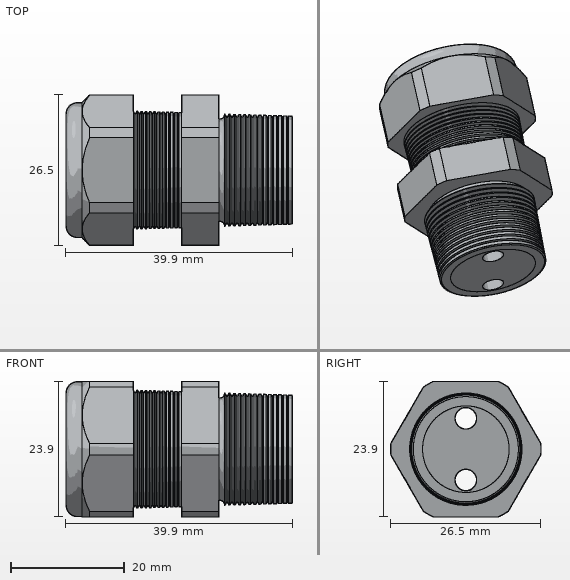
import cadquery as cq
import math


length = 39.88
cap_hex_end = 11.85
mid_hex_start = 20.35
mid_hex_end = 26.88

across_flats = 23.9
corner_diameter = 26.5

nose_radius = 11.9
nose_rounding = 2.05
nose_length = 2.8

crest_slope = 1 / 32
groove_half_angle = math.radians(30)

cap_thread_crest = 10.4
cap_thread_root = 9.85
cap_groove_first = 12.15
cap_groove_pitch = 0.75
cap_groove_count = 11

entry_thread_crest = 9.9
entry_thread_root = 9.25
entry_groove_first = 28.3
entry_groove_last = length
entry_groove_count = 14
entry_groove_pitch = (entry_groove_last - entry_groove_first) / (entry_groove_count - 1)

neck_radius = 9.0
neck_fillet = 0.85
neck_end = 27.88

bore_radius = 7.6
recess_radius = 7.3
recess_depth = 0.5
cable_hole_diameter = 3.75
cable_hole_offset = 5.42


def turned(outline):
    """Revolve a closed outline of (x, radius) around the X axis."""
    return outline.close().revolve(360, (0, 0, 0), (1, 0, 0))


def hexagon(start, end):
    """Hexagonal prism with corners pointing along Y, turned round at the corner diameter."""
    face = cq.Workplane("YZ", origin=(start, 0, 0))
    sharp_diameter = across_flats / math.cos(math.radians(30))
    prism = face.polygon(6, sharp_diameter).extrude(end - start)
    return prism.intersect(face.circle(corner_diameter / 2).extrude(end - start))


def cut_ring_grooves(body, first, pitch, count, root, depth):
    """Cut evenly spaced V grooves around the body, each with its tip at the root radius."""
    half_width = depth * math.tan(groove_half_angle)
    for index in range(count):
        centre = first + index * pitch
        groove = turned(
            cq.Workplane("XY")
            .moveTo(centre, root)
            .lineTo(centre - half_width, root + depth)
            .lineTo(centre + half_width, root + depth)
        )
        body = body.cut(groove)
    return body


def make_cap():
    """Round nose and the hexagon behind it, with the hexagon's front corners coned off."""
    corner_radius = corner_diameter / 2
    cone_end = nose_length + corner_radius - nose_radius
    envelope = turned(
        cq.Workplane("XY")
        .lineTo(0, nose_radius - nose_rounding)
        .radiusArc((nose_rounding, nose_radius), nose_rounding)
        .lineTo(nose_length, nose_radius)
        .lineTo(cone_end, corner_radius)
        .lineTo(cap_hex_end, corner_radius)
        .lineTo(cap_hex_end, 0)
    )
    return envelope.intersect(hexagon(0, cap_hex_end))


def make_cap_thread():
    """Threaded length between the two hexagons."""
    end_crest = cap_thread_crest - crest_slope * (mid_hex_start - cap_hex_end)
    blank = turned(
        cq.Workplane("XY")
        .moveTo(cap_hex_end, 0)
        .lineTo(cap_hex_end, cap_thread_crest)
        .lineTo(mid_hex_start, end_crest)
        .lineTo(mid_hex_start, 0)
    )
    depth = cap_thread_crest - cap_thread_root
    return cut_ring_grooves(
        blank, cap_groove_first, cap_groove_pitch, cap_groove_count, cap_thread_root, depth
    )


def make_entry_thread():
    """Neck and tapered thread at the +X end."""
    end_crest = entry_thread_crest - crest_slope * (length - neck_end)
    blank = turned(
        cq.Workplane("XY")
        .moveTo(mid_hex_end, 0)
        .lineTo(mid_hex_end, neck_radius)
        .lineTo(neck_end - neck_fillet, neck_radius)
        .radiusArc((neck_end, neck_radius + neck_fillet), -neck_fillet)
        .lineTo(neck_end, entry_thread_crest)
        .lineTo(length, end_crest)
        .lineTo(length, 0)
    )
    depth = entry_thread_crest - entry_thread_root
    return cut_ring_grooves(
        blank, entry_groove_first, entry_groove_pitch, entry_groove_count, entry_thread_root, depth
    )


def make_housing():
    """Cap, threads and middle hexagon as one solid, bored right through."""
    body = make_cap().union(make_cap_thread())
    body = body.union(hexagon(mid_hex_start, mid_hex_end))
    body = body.union(make_entry_thread())
    bore = cq.Workplane("YZ").circle(bore_radius).extrude(length)
    return body.cut(bore)


def make_insert():
    """Plug filling the bore, with a shallow front recess and two cable holes."""
    plug = cq.Workplane("YZ").circle(bore_radius).extrude(length)
    recess = cq.Workplane("YZ").circle(recess_radius).extrude(recess_depth)
    cable_holes = (
        cq.Workplane("YZ")
        .pushPoints([(0, cable_hole_offset), (0, -cable_hole_offset)])
        .circle(cable_hole_diameter / 2)
        .extrude(length)
    )
    return plug.cut(recess).cut(cable_holes)


housing = make_housing()
insert = make_insert()

result = cq.Compound.makeCompound([*housing.solids().vals(), insert.val()])